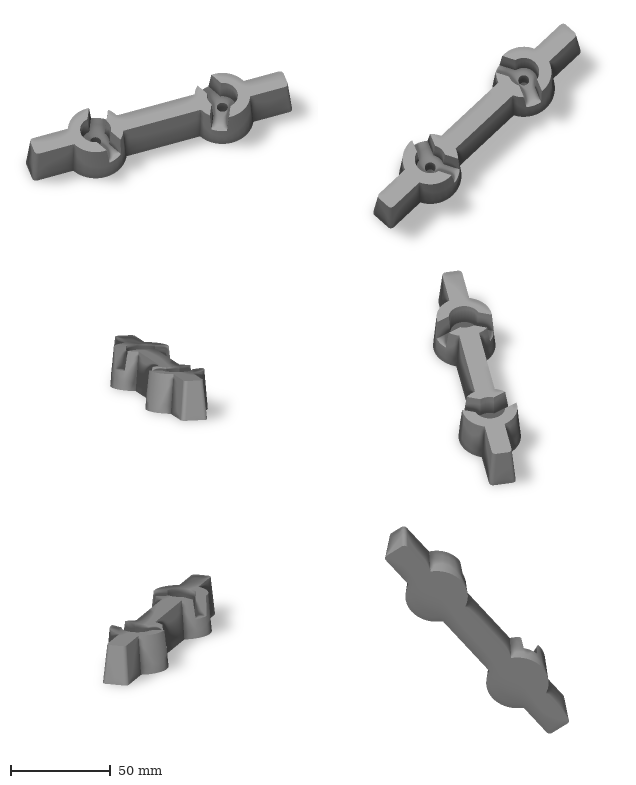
import cadquery as cq
import math

length = 137.5
height = 20.0
bar_width = 13.6
hub_diameter = 31.4
hub_offset = 33.5
draft_angle = 5.0
end_fillet = 2.0

floor_height = 9.8
pocket_diameter = 15.5
slot_width = 9.6
slot_angle = 25.0

hole_mouth_diameter = 5.5
hole_end_diameter = 4.3
hole_tip_angle = 118.0

pocket_depth = height - floor_height
slot_reach = hub_diameter


def make_bar():
    """Drafted straight bar with rounded vertical corners."""
    bar = cq.Workplane("XY").rect(bar_width, length).extrude(height, taper=draft_angle)
    corner_edges = bar.faces("<Y or >Y").edges("not #Z")
    return corner_edges.fillet(end_fillet)


def make_hub():
    """Drafted round boss centred on the origin."""
    return cq.Workplane("XY").circle(hub_diameter / 2).extrude(height, taper=draft_angle)


def make_slot_arm(angle):
    """Drafted slot running outwards from the origin, narrowing downwards."""
    half_top = slot_width / 2
    half_floor = half_top - pocket_depth * math.tan(math.radians(draft_angle))
    section = [
        (-half_floor, floor_height),
        (half_floor, floor_height),
        (half_top, height),
        (-half_top, height),
    ]
    arm = cq.Workplane("YZ").polyline(section).close().extrude(slot_reach)
    return arm.rotate((0, 0, 0), (0, 0, 1), angle)


def make_hole():
    """Blind hole below the pocket floor, with a drafted wall and a conical tip."""
    mouth_radius = hole_mouth_diameter / 2
    end_radius = hole_end_diameter / 2
    wall_end = floor_height - (mouth_radius - end_radius) / math.tan(math.radians(draft_angle))
    tip_depth = end_radius / math.tan(math.radians(hole_tip_angle / 2))
    profile = [
        (0, floor_height),
        (mouth_radius, floor_height),
        (end_radius, wall_end),
        (0, wall_end - tip_depth),
    ]
    return cq.Workplane("XZ").polyline(profile).close().revolve(360, (0, 0), (0, 1))


def make_hub_cut():
    """Round pocket, two angled slot arms and the centre hole of the +Y hub."""
    pocket = (
        cq.Workplane("XY", origin=(0, 0, height))
        .circle(pocket_diameter / 2)
        .extrude(-pocket_depth, taper=draft_angle)
    )
    cut = pocket.union(make_hole())
    for angle in (-slot_angle, 180 + slot_angle):
        cut = cut.union(make_slot_arm(angle))
    return cut


body = make_bar()
for turn in (0, 180):
    hub = make_hub().translate((0, hub_offset, 0))
    body = body.union(hub.rotate((0, 0, 0), (0, 0, 1), turn))
for turn in (0, 180):
    hub_cut = make_hub_cut().translate((0, hub_offset, 0))
    body = body.cut(hub_cut.rotate((0, 0, 0), (0, 0, 1), turn))

result = body